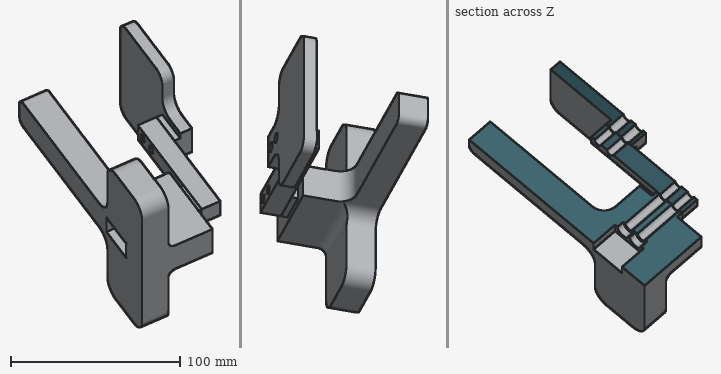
import cadquery as cq


bar_height = 21.3
joint_length = 21.3
joint_rise = 4.0
link_size = 12.72
neck_radius = 10.0

handle_length = 145.5
handle_height = 112.7
handle_thickness = 18.0
head_width = 41.2
head_corner_radius = 10.0
arm_tip_radius = 5.0
block_back = 48.0
block_arm_radius = 10.0
block_side_radius = 5.0
head_left = handle_length - head_width
block_left = head_left - neck_radius

pocket_length = 23.3
pocket_height = 12.9
pocket_depth = handle_thickness

plate_length = 50.0
plate_height = 81.0
plate_thickness = 8.0
plate_corner_radius = 7.5

screw_spacing = 10.2
clearance_diameter = 6.0
thread_diameter = 5.0
counterbore_diameter = 9.0
counterbore_depth = 5.0

link_front = block_back + joint_rise
link_back = link_front + link_size
plate_front = link_back + joint_rise
plate_back = plate_front + plate_thickness
link_left = plate_length
link_right = head_left + joint_length
plate_right = link_left + joint_length
handle_joint_x = link_right - joint_length / 2
plate_joint_x = link_left + joint_length / 2


def box(x_start, x_end, y_start, y_end, height):
    """Block between two X and two Y positions, centred on Z = 0."""
    return (
        cq.Workplane("XY")
        .box(x_end - x_start, y_end - y_start, height, centered=(False, False, True))
        .translate((x_start, y_start, 0))
    )


def screw_pair(joint_x, y_start, y_end, diameter):
    """Two cylinders along Y, side by side in X around the middle of a joint."""
    return (
        cq.Workplane("XZ", origin=(joint_x, y_start, 0))
        .rarray(screw_spacing, 1, 2, 1)
        .circle(diameter / 2)
        .extrude(y_start - y_end)
    )


def concave_corner(radius):
    """Section that fills the corner between +X and +Y at the origin with a concave arc."""
    middle = radius * (1 - 0.5**0.5)
    return (
        cq.Workplane("XY")
        .lineTo(radius, 0)
        .threePointArc((middle, middle), (0, radius))
        .close()
    )


def necked_plate(bar_start, bar_end, plate_start, plate_end, height, corner_radius, y_start, y_end):
    """Tall rounded plate crossed by a bar, with a concave neck where the bar leaves it.

    The neck is on the left when the bar starts before the plate, otherwise on the right.
    """
    plate = box(plate_start, plate_end, y_start, y_end, height).edges("|Y").fillet(corner_radius)
    bar = box(bar_start, bar_end, y_start, y_end, bar_height)
    neck = concave_corner(neck_radius).extrude(y_end - y_start).rotate((0, 0, 0), (1, 0, 0), 90)
    neck_x = plate_end
    if bar_start < plate_start:
        neck = neck.mirror("YZ")
        neck_x = plate_start
    neck = neck.translate((neck_x, y_end, bar_height / 2))
    return plate.union(bar).union(neck).union(neck.mirror("XY"))


def handle_outline(y_end):
    """T-shaped outline of the handle, extruded back from its front face."""
    return necked_plate(
        0, handle_length, head_left, handle_length,
        handle_height, head_corner_radius, 0, y_end,
    )


def make_handle():
    body = handle_outline(handle_thickness).edges("|Y and <X").fillet(arm_tip_radius)

    block = box(block_left, handle_length, handle_thickness, block_back, bar_height)
    arm_fillet = (
        concave_corner(block_arm_radius)
        .extrude(bar_height / 2, both=True)
        .mirror("YZ")
        .translate((block_left, handle_thickness, 0))
    )

    side_fillet = (
        concave_corner(block_side_radius)
        .extrude(head_width + neck_radius)
        .rotate((0, 0, 0), (1, 1, 1), 120)
        .translate((block_left, handle_thickness, bar_height / 2))
        .intersect(handle_outline(block_back))
    )
    body = body.union(block).union(arm_fillet)
    body = body.union(side_fillet).union(side_fillet.mirror("XY"))

    pad = box(head_left, link_right, block_back, link_front, link_size)
    body = body.union(pad)

    pocket_left = handle_joint_x - pocket_length / 2
    pocket = box(pocket_left, pocket_left + pocket_length, 0, pocket_depth, pocket_height)
    counterbore_end = pocket_depth + counterbore_depth
    counterbores = screw_pair(handle_joint_x, pocket_depth, counterbore_end, counterbore_diameter)
    holes = screw_pair(handle_joint_x, counterbore_end, link_front, clearance_diameter)
    return body.cut(pocket).cut(counterbores).cut(holes)


def make_link():
    body = box(link_left, link_right, link_front, link_back, link_size)
    for joint_x in (handle_joint_x, plate_joint_x):
        body = body.cut(screw_pair(joint_x, link_front, link_back, thread_diameter))
    return body


def make_back_plate():
    body = necked_plate(
        plate_length / 2, plate_right, 0, plate_length,
        plate_height, plate_corner_radius, plate_front, plate_back,
    )
    pad = box(link_left, plate_right, link_back, plate_front, link_size)
    holes = screw_pair(plate_joint_x, link_back, plate_back, clearance_diameter)
    return body.union(pad).cut(holes)


handle = make_handle()
link = make_link()
back_plate = make_back_plate()
result = cq.Compound.makeCompound([handle.val(), link.val(), back_plate.val()])